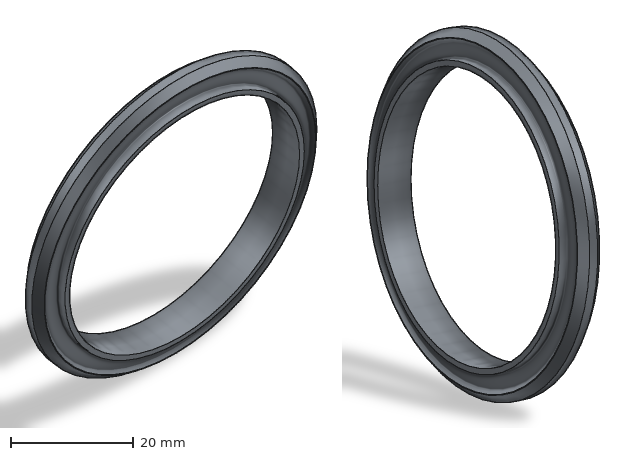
import cadquery as cq

outer_diameter = 62.0
bore_diameter = 50.0
total_width = 6.7

flange_width = 4.45
rim_chamfer = 1.4

collar_diameter = 52.0

groove_floor_diameter = 57.55
groove_mouth_diameter = 58.9
groove_depth = 0.6
collar_fillet = 0.4
groove_fillet = 0.5

outer_radius = outer_diameter / 2
bore_radius = bore_diameter / 2
collar_radius = collar_diameter / 2
groove_floor_radius = groove_floor_diameter / 2
groove_mouth_radius = groove_mouth_diameter / 2
half_width = total_width / 2
flange_face = flange_width / 2
groove_floor = flange_face - groove_depth


def side_points(side):
    """Profile of one side from bore to rim; side is -1 or +1 along X."""
    return [
        (side * half_width, bore_radius),
        (side * half_width, collar_radius),
        (side * groove_floor, collar_radius),
        (side * groove_floor, groove_floor_radius),
        (side * flange_face, groove_mouth_radius),
        (side * flange_face, outer_radius - rim_chamfer),
        (side * (flange_face - rim_chamfer), outer_radius),
    ]


def make_ring():
    """Revolve the closed ring profile about the X axis."""
    outline = side_points(-1) + side_points(1)[::-1]
    profile = cq.Workplane("XY").polyline(outline).close()
    return profile.revolve(360, (0, 0, 0), (1, 0, 0))


def floor_edge(side, radius):
    """Select the groove floor edges up to the given radius on one side."""
    tolerance = 0.005
    return cq.selectors.BoxSelector(
        (side * groove_floor - tolerance, -radius - tolerance, -radius - tolerance),
        (side * groove_floor + tolerance, radius + tolerance, radius + tolerance),
        boundingbox=True,
    )


def round_groove_corners(ring):
    """Fillet the inner and outer floor edges of the groove on each side."""
    for side in (-1, 1):
        collar_edge = floor_edge(side, collar_radius)
        wall_edge = floor_edge(side, groove_floor_radius) - collar_edge
        ring = ring.edges(wall_edge).fillet(groove_fillet)
        ring = ring.edges(collar_edge).fillet(collar_fillet)
    return ring


result = round_groove_corners(make_ring())